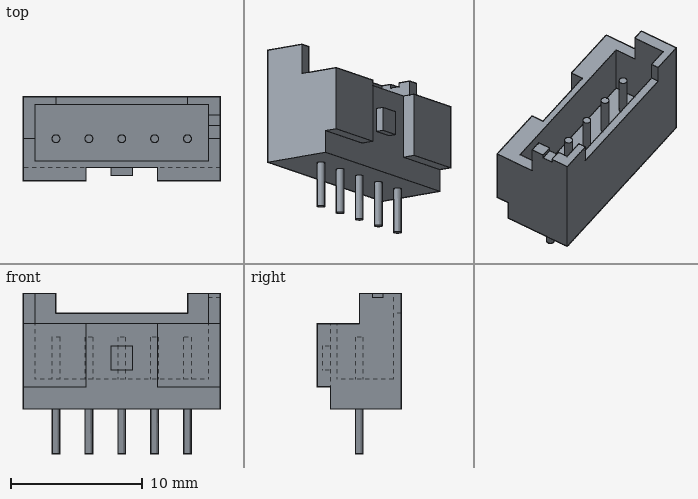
import cadquery as cq

LENGTH = 15.0
DEPTH = 6.4
HEIGHT = 8.8
BACK_Y = DEPTH / 2
FRONT_Y = -DEPTH / 2
RIGHT_X = LENGTH / 2

FRONT_WALL_TOP = 6.5
PAD_DEPTH = 1.0
PAD_BOTTOM = 1.7
PAD_GAP = 5.4
FRONT_WALL_Y = FRONT_Y + PAD_DEPTH

END_WALL = 0.9
BACK_WALL = 0.6
FRONT_WALL = 0.5
FLOOR = 2.3

WINDOW_WIDTH = 10.0
WINDOW_DEPTH = 1.5

GROOVE_WIDTH = 0.8
GROOVE_DEPTH = 0.3
GROOVE_FROM_BACK = 1.4

TAB_WIDTH = 1.65
TAB_DEPTH = 0.6
TAB_HEIGHT = 1.8
TAB_BOTTOM = 3.0

PIN_COUNT = 5
PIN_PITCH = 2.5
PIN_DIAMETER = 0.6
PIN_TAIL = 3.4
PIN_TOP = 5.5


def block(x_min, x_max, y_min, y_max, z_min, z_max):
    """Axis-aligned box given by its limits."""
    size = (x_max - x_min, y_max - y_min, z_max - z_min)
    return cq.Workplane("XY").box(*size, centered=False).translate((x_min, y_min, z_min))


def housing_body():
    """Side profile extruded along X: tall back half, lower front half, undercut pads."""
    profile = [
        (BACK_Y, 0),
        (BACK_Y, HEIGHT),
        (0, HEIGHT),
        (0, FRONT_WALL_TOP),
        (FRONT_Y, FRONT_WALL_TOP),
        (FRONT_Y, PAD_BOTTOM),
        (FRONT_WALL_Y, PAD_BOTTOM),
        (FRONT_WALL_Y, 0),
    ]
    return cq.Workplane("YZ").polyline(profile).close().extrude(LENGTH / 2, both=True)


def pad_gap():
    """Space between the two front pads."""
    return block(-PAD_GAP / 2, PAD_GAP / 2, FRONT_Y, FRONT_WALL_Y, 0, HEIGHT)


def cavity():
    """Pocket open at the top."""
    inner_x = RIGHT_X - END_WALL
    return block(-inner_x, inner_x, FRONT_WALL_Y + FRONT_WALL, BACK_Y - BACK_WALL, FLOOR, HEIGHT)


def back_window():
    """Wide notch in the top of the back wall."""
    half_width = WINDOW_WIDTH / 2
    return block(-half_width, half_width, BACK_Y - BACK_WALL, BACK_Y, HEIGHT - WINDOW_DEPTH, HEIGHT)


def end_groove():
    """Shallow groove through the top of the +X end wall."""
    back_side = BACK_Y - GROOVE_FROM_BACK
    front_side = back_side - GROOVE_WIDTH
    return block(RIGHT_X - END_WALL, RIGHT_X, front_side, back_side, HEIGHT - GROOVE_DEPTH, HEIGHT)


def front_tab():
    """Small rectangular tab centred on the front wall, rooted through the wall thickness."""
    half_width = TAB_WIDTH / 2
    tab_front = FRONT_WALL_Y - TAB_DEPTH
    tab_root = FRONT_WALL_Y + FRONT_WALL
    return block(-half_width, half_width, tab_front, tab_root, TAB_BOTTOM, TAB_BOTTOM + TAB_HEIGHT)


def pins():
    """Row of round pins passing through the cavity floor."""
    row = cq.Workplane("XY", origin=(0, 0, -PIN_TAIL)).rarray(PIN_PITCH, 1, PIN_COUNT, 1)
    return row.circle(PIN_DIAMETER / 2).extrude(PIN_TAIL + PIN_TOP)


housing = housing_body().cut(pad_gap()).cut(cavity()).cut(back_window()).cut(end_groove())
result = housing.union(front_tab()).union(pins())